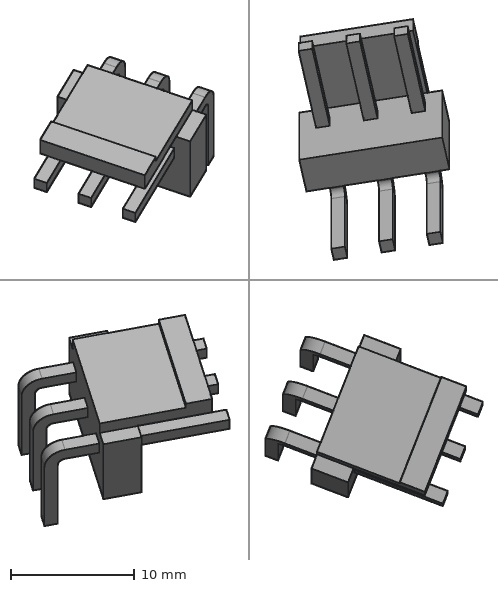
import cadquery as cq

body_width = 11.82
body_depth = 3.19
body_height = 6.79

plate_width = 9.33
plate_length = 9.39
plate_thickness = 1.18
lip_length = 2.2
lip_height = 0.5

pin_count = 3
pin_pitch = 3.95
pin_size = 1.13
pin_top = body_height - 1.47
pin_front_reach = 7.7
pin_rear_reach = 4.58
pin_tail = 3.64
bend_inner_radius = 0.57
bend_outer_radius = bend_inner_radius + pin_size


def extrude_across(profile, width, center_x=0):
    """Extrude a YZ profile symmetrically about the plane X = center_x."""
    return profile.extrude(width / 2, both=True).translate((center_x, 0, 0))


def make_body():
    return cq.Workplane("XY").box(
        body_width, body_depth, body_height, centered=(True, False, False)
    )


def make_plate():
    front = body_depth - plate_length
    top = body_height + plate_thickness
    profile = (
        cq.Workplane("YZ")
        .moveTo(body_depth, body_height)
        .lineTo(front, body_height)
        .lineTo(front, top + lip_height)
        .lineTo(front + lip_length, top + lip_height)
        .lineTo(front + lip_length, top)
        .lineTo(body_depth, top)
        .close()
    )
    return extrude_across(profile, plate_width)


def make_pin(center_x):
    front = -pin_front_reach
    rear = body_depth + pin_rear_reach
    bend_y = rear - bend_outer_radius
    bend_z = pin_top - bend_outer_radius
    profile = (
        cq.Workplane("YZ")
        .moveTo(front, pin_top)
        .lineTo(bend_y, pin_top)
        .radiusArc((rear, bend_z), bend_outer_radius)
        .lineTo(rear, -pin_tail)
        .lineTo(rear - pin_size, -pin_tail)
        .lineTo(rear - pin_size, bend_z)
        .radiusArc((bend_y, pin_top - pin_size), -bend_inner_radius)
        .lineTo(front, pin_top - pin_size)
        .close()
    )
    return extrude_across(profile, pin_size, center_x)


result = make_body().union(make_plate())
for index in range(pin_count):
    offset = index - (pin_count - 1) / 2
    result = result.union(make_pin(offset * pin_pitch))